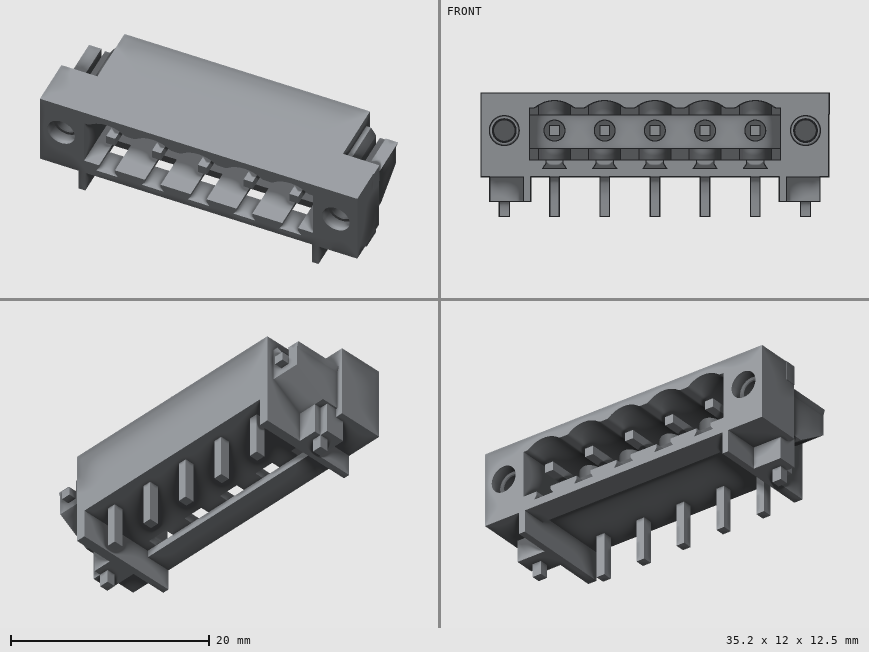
import cadquery as cq
import math


HEIGHT = 11.0
DEPTH = 12.0
FLANGE_HALF = 17.55
FLANGE_DEPTH = 5.3
FLANGE_BOTTOM = 2.5
BODY_HALF = 13.6
TAIL_LENGTH = 1.5

PITCH = 5.07
CONTACT_COUNT = 5
CONTACT_XS = [(i - (CONTACT_COUNT - 1) / 2) * PITCH for i in range(CONTACT_COUNT)]
AXIS_Z = 7.18
CONTACT_SIZE = 1.0
CONTACT_TIP_Y = 0.9
CONTACT_TAIL_DEPTH = 1.1
CONTACT_REAR_Y = 10.55

CAVITY_HALF = 12.67
CAVITY_FLOOR = 4.2
CAVITY_BACK_Y = 8.27
VALLEY_Z = 9.47
SCALLOP_RADIUS = 3.03
VALLEY_FILLET = 0.55

BAR_BOTTOM = 5.35
BAR_TOP = 8.73
BAR_FRONT_Y = 6.5
COLLAR_RADIUS = 1.05
COLLAR_DEPTH = 0.35
BUMP_BASE_HALF = 1.62
BUMP_SHOULDER_HALF = 1.23
BUMP_SHOULDER_Y = 7.57
BUMP_FRONT_Y = 6.85

SLOT_FLOOR = 3.35
SLOT_THROAT_HALF = 0.88
SLOT_BASE_HALF = 1.2
SLOT_FLARE_Z = 3.85
SLOT_BACK_Y = 3.98
FRONT_SILL_DEPTH = 2.95

WALL_INNER = 12.53
WALL_OUTER = 13.27
FOOT_OUTER = 16.7
FOOT_FRONT_Y = 4.25
FOOT_BACK_Y = 6.55

SCREW_X = 15.2
ANCHOR_WIDTH = 1.05
ANCHOR_BAR_HEIGHT = 1.0
ANCHOR_FRONT_Y = 5.53
ANCHOR_LEG_DEPTH = FOOT_BACK_Y - ANCHOR_FRONT_Y
ANCHOR_TOP = AXIS_Z + ANCHOR_BAR_HEIGHT / 2
ANCHOR_BOTTOM = AXIS_Z - ANCHOR_BAR_HEIGHT / 2
CLIP_BOTTOM = 3.55
CLIP_BACK_Y = 11.1
CLIP_BACK_BOTTOM = 5.9
RIB_BACK_Y = 7.35
CLIP_OUTER = 16.9
CLIP_NOSE = 17.1
CLIP_NOSE_BOTTOM = 8.13
CLIP_OUTER_TOP = 8.85
CLIP_INNER_TOP = 9.7
CLIP_INNER_CREST = 14.1
SLOT_OUTER = SCREW_X + ANCHOR_WIDTH / 2
SLOT_INNER = SCREW_X - ANCHOR_WIDTH / 2

INSERT_RADIUS = 1.5
INSERT_FRONT_Y = 1.4
INSERT_BACK_Y = 4.58
INSERT_MOUTH_RADIUS = 1.2
INSERT_BORE_RADIUS = 1.1
INSERT_BORE_DEPTH = 2.8

KEY_THICKNESS = 0.07
KEY_BOTTOM = 8.85
KEY_FRONT_Y = 3.98


def box(x0, x1, y0, y1, z0, z1):
    """Box between two opposite corners, given as coordinate ranges."""
    return cq.Workplane("XY").box(x1 - x0, y1 - y0, z1 - z0, centered=False).translate((x0, y0, z0))


def xz_plane(y):
    """Plane across Y, seen from the front; extruding by a negative length goes toward +Y."""
    return cq.Workplane("XZ", origin=(0, y, 0))


def rod(x, radius, y0, y1):
    """Cylinder along Y on the contact axis height."""
    return xz_plane(y0).center(x, AXIS_Z).circle(radius).extrude(y0 - y1)


def mirrored(shape):
    """Copy on the opposite X side."""
    return shape.mirror("YZ")


def contact(x):
    """Angled contact: horizontal pin with a tail down through the board."""
    half = CONTACT_SIZE / 2
    pin = box(x - half, x + half, CONTACT_TIP_Y, CONTACT_REAR_Y, AXIS_Z - half, AXIS_Z + half)
    tail = box(x - half, x + half, CONTACT_REAR_Y - CONTACT_TAIL_DEPTH, CONTACT_REAR_Y,
               -TAIL_LENGTH, AXIS_Z + half)
    return pin.union(tail)


def anchor(x):
    """Angled board anchor: bar in the clip slot with a leg down through the foot."""
    half = ANCHOR_WIDTH / 2
    bar = box(x - half, x + half, ANCHOR_FRONT_Y, DEPTH, ANCHOR_BOTTOM, ANCHOR_TOP)
    leg = box(x - half, x + half, ANCHOR_FRONT_Y, ANCHOR_FRONT_Y + ANCHOR_LEG_DEPTH,
              -TAIL_LENGTH, ANCHOR_TOP)
    return bar.union(leg)


def screw_insert(x):
    """Round insert with a blind bore and a chamfered mouth."""
    bore_back_y = INSERT_FRONT_Y + INSERT_BORE_DEPTH
    chamfer = INSERT_MOUTH_RADIUS - INSERT_BORE_RADIUS
    sleeve = rod(x, INSERT_RADIUS, INSERT_FRONT_Y, INSERT_BACK_Y)
    sleeve = sleeve.cut(rod(x, INSERT_BORE_RADIUS, INSERT_FRONT_Y, bore_back_y))
    mouth_edge = cq.selectors.RadiusNthSelector(0)
    return sleeve.faces("<Y").edges(mouth_edge).chamfer(chamfer)


def mating_cavity():
    """Cavity with a flat floor and one scallop over each contact, filleted into the valleys."""
    fillet_center_z = VALLEY_Z + VALLEY_FILLET
    rise = fillet_center_z - AXIS_Z
    reach = SCALLOP_RADIUS + VALLEY_FILLET
    run = math.sqrt(reach ** 2 - rise ** 2)
    tangent_x = run * SCALLOP_RADIUS / reach
    tangent_z = AXIS_Z + rise * SCALLOP_RADIUS / reach
    to_axis = math.atan2(-rise, -run)
    middle = (to_axis - math.pi / 2) / 2
    middle_x = run + VALLEY_FILLET * math.cos(middle)
    middle_z = fillet_center_z + VALLEY_FILLET * math.sin(middle)

    outline = xz_plane(0).moveTo(-CAVITY_HALF, CAVITY_FLOOR).lineTo(-CAVITY_HALF, VALLEY_Z)
    for x in CONTACT_XS:
        outline = (
            outline.lineTo(x - run, VALLEY_Z)
            .threePointArc((x - middle_x, middle_z), (x - tangent_x, tangent_z))
            .threePointArc((x, AXIS_Z + SCALLOP_RADIUS), (x + tangent_x, tangent_z))
            .threePointArc((x + middle_x, middle_z), (x + run, VALLEY_Z))
        )
    outline = outline.lineTo(CAVITY_HALF, VALLEY_Z).lineTo(CAVITY_HALF, CAVITY_FLOOR).close()
    return outline.extrude(-CAVITY_BACK_Y)


def contact_bar():
    """Bar across the back of the cavity that holds the contacts."""
    bar = box(-CAVITY_HALF, CAVITY_HALF, BAR_FRONT_Y, CAVITY_BACK_Y, BAR_BOTTOM, BAR_TOP)
    for x in CONTACT_XS:
        bar = bar.cut(rod(x, COLLAR_RADIUS, BAR_FRONT_Y, BAR_FRONT_Y + COLLAR_DEPTH))
    return bar


def bump(x):
    """Upright bump behind the contact bar: tapered sides and a rounded front, floor to top."""
    return (
        cq.Workplane("XY", origin=(x, 0, CAVITY_FLOOR))
        .moveTo(-BUMP_BASE_HALF, CAVITY_BACK_Y)
        .lineTo(-BUMP_SHOULDER_HALF, BUMP_SHOULDER_Y)
        .threePointArc((0, BUMP_FRONT_Y), (BUMP_SHOULDER_HALF, BUMP_SHOULDER_Y))
        .lineTo(BUMP_BASE_HALF, CAVITY_BACK_Y)
        .close()
        .extrude(HEIGHT - CAVITY_FLOOR)
        .cut(box(-BODY_HALF, BODY_HALF, BAR_FRONT_Y, CAVITY_BACK_Y, BAR_BOTTOM, BAR_TOP))
    )


def coding_slot(x):
    """Slot in the cavity floor that widens toward its bottom."""
    return (
        xz_plane(0)
        .polyline([
            (x - SLOT_THROAT_HALF, CAVITY_FLOOR), (x - SLOT_THROAT_HALF, SLOT_FLARE_Z),
            (x - SLOT_BASE_HALF, SLOT_FLOOR), (x + SLOT_BASE_HALF, SLOT_FLOOR),
            (x + SLOT_THROAT_HALF, SLOT_FLARE_Z), (x + SLOT_THROAT_HALF, CAVITY_FLOOR),
        ])
        .close()
        .extrude(-SLOT_BACK_Y)
    )


def clip():
    """Two-jaw clip on the +X side, with its slot open at the top and its rear underside sloped."""
    section = (
        xz_plane(FLANGE_DEPTH)
        .polyline([
            (BODY_HALF, CLIP_BOTTOM), (CLIP_OUTER, CLIP_BOTTOM),
            (CLIP_OUTER, CLIP_NOSE_BOTTOM), (CLIP_NOSE, CLIP_OUTER_TOP),
            (SLOT_OUTER, CLIP_OUTER_TOP), (SLOT_OUTER, ANCHOR_BOTTOM),
            (SLOT_INNER, ANCHOR_BOTTOM), (SLOT_INNER, CLIP_OUTER_TOP),
            (CLIP_INNER_CREST, CLIP_INNER_TOP), (BODY_HALF, CLIP_INNER_TOP),
        ])
        .close()
        .extrude(FLANGE_DEPTH - CLIP_BACK_Y)
    )
    underside = (
        cq.Workplane("YZ", origin=(BODY_HALF, 0, 0))
        .polyline([(RIB_BACK_Y, CLIP_BOTTOM), (CLIP_BACK_Y, CLIP_BACK_BOTTOM), (CLIP_BACK_Y, CLIP_BOTTOM)])
        .close()
        .extrude(CLIP_NOSE - BODY_HALF)
    )
    return section.cut(underside)


def end_support():
    """Wall, foot, rib and clip at the +X end, behind and below the flange."""
    wall = box(WALL_INNER, WALL_OUTER, 0, FLANGE_DEPTH, 0, FLANGE_BOTTOM)
    front_foot = box(WALL_OUTER, FOOT_OUTER, FOOT_FRONT_Y, FLANGE_DEPTH, 0, FLANGE_BOTTOM)
    rear_foot = box(BODY_HALF, FOOT_OUTER, FLANGE_DEPTH, FOOT_BACK_Y, 0, CLIP_BOTTOM)
    rib = box(BODY_HALF, SLOT_OUTER, FOOT_BACK_Y, RIB_BACK_Y, 0, CLIP_BOTTOM)
    return wall.union(front_foot).union(rear_foot).union(rib).union(clip())


def build_housing(inner_bodies):
    """Housing with matching holes for all the bodies that sit in it."""
    shell = box(-FLANGE_HALF, FLANGE_HALF, 0, FLANGE_DEPTH, FLANGE_BOTTOM, HEIGHT)
    shell = shell.union(box(-BODY_HALF, BODY_HALF, FLANGE_DEPTH, DEPTH, 0, HEIGHT))
    shell = shell.union(end_support()).union(mirrored(end_support()))
    shell = shell.union(box(FLANGE_HALF, FLANGE_HALF + KEY_THICKNESS, KEY_FRONT_Y, FLANGE_DEPTH,
                            KEY_BOTTOM, HEIGHT))

    shell = shell.cut(box(-WALL_INNER, WALL_INNER, FRONT_SILL_DEPTH, DEPTH, 0, SLOT_FLOOR))
    shell = shell.cut(mating_cavity()).union(contact_bar())
    for x in CONTACT_XS:
        shell = shell.union(bump(x)).cut(coding_slot(x))
    for x in (-SCREW_X, SCREW_X):
        shell = shell.cut(rod(x, INSERT_RADIUS, 0, INSERT_FRONT_Y))
    for body in inner_bodies:
        shell = shell.cut(body)
    return shell


contacts = [contact(x) for x in CONTACT_XS]
anchors = [anchor(x) for x in (-SCREW_X, SCREW_X)]
inserts = [screw_insert(x) for x in (-SCREW_X, SCREW_X)]
insert_seats = [rod(x, INSERT_RADIUS, INSERT_FRONT_Y, INSERT_BACK_Y) for x in (-SCREW_X, SCREW_X)]
housing = build_housing(contacts + anchors + insert_seats)

bodies = [housing, *contacts, *anchors, *inserts]
result = cq.Compound.makeCompound([body.solids().val() for body in bodies])